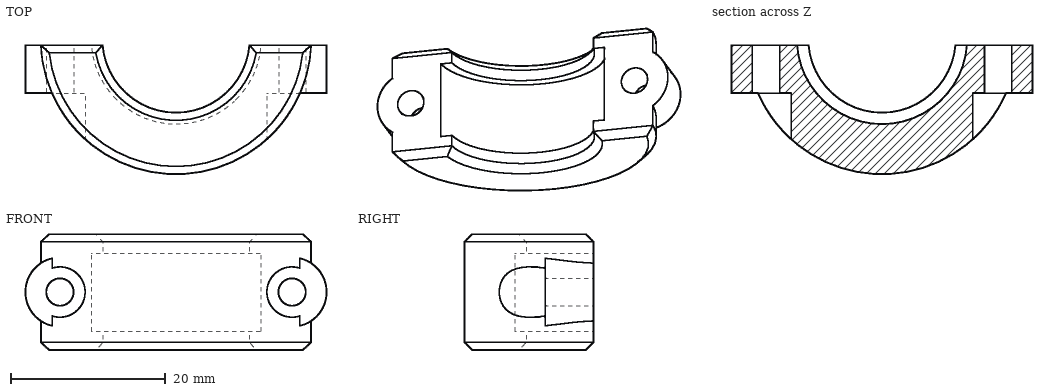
import cadquery as cq

total_length = 39.0
height = 15.0
outer_radius = 17.5
bore_radius = 9.5
split_gap = 0.78
edge_chamfer = 1.0

groove_radius = 11.0
lip_height = 2.45
groove_width = height - 2 * lip_height

boss_radius = 4.5
boss_depth = 6.25
screw_hole_diameter = 3.5
head_recess_diameter = 6.5

boss_spacing = total_length - 2 * boss_radius
split_y = -split_gap
seat_y = split_y - boss_depth


def cylinder_along_y(x, radius, start_y, length):
    """Cylinder at mid-height that runs from start_y toward -Y."""
    return cq.Workplane("XZ", origin=(x, start_y, 0)).circle(radius).extrude(length)


def half_ring():
    """Half ring with every edge of its top and bottom faces chamfered."""
    ring = cq.Workplane("XY").circle(outer_radius).circle(bore_radius).extrude(height / 2, both=True)
    keep = cq.Workplane("XY").box(
        2 * outer_radius, outer_radius, height, centered=(True, False, True)
    ).translate((0, split_y - outer_radius, 0))
    return ring.intersect(keep).faces("<Z or >Z").edges().chamfer(edge_chamfer)


result = half_ring()

for side in (-1, 1):
    boss_x = side * boss_spacing / 2
    boss = cylinder_along_y(boss_x, boss_radius, split_y, boss_depth)
    head_recess = cylinder_along_y(boss_x, head_recess_diameter / 2, seat_y, outer_radius)
    screw_hole = cylinder_along_y(boss_x, screw_hole_diameter / 2, split_y, outer_radius)
    result = result.union(boss).cut(head_recess).cut(screw_hole)

bore_groove = cq.Workplane("XY").circle(groove_radius).extrude(groove_width / 2, both=True)
result = result.cut(bore_groove)